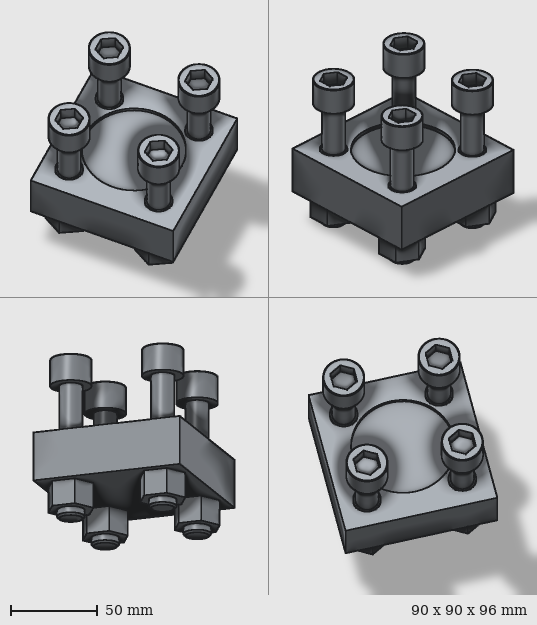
import cadquery as cq
import math

plate_side = 90.0
plate_thickness = 29.0
recess_diameter = 60.0
recess_depth = 2.0

bolt_circle_diameter = 80.0
shank_diameter = 13.5
thread_diameter = 16.0
thread_chamfer = (thread_diameter - shank_diameter) / 2
head_diameter = 24
head_height = 16.0
head_chamfer = 0.5
socket_across_flats = 14.0
socket_depth = 8.0

nut_across_flats = 24
nut_height = 15.0
thread_overhang = 5.0

total_height = 96
nut_bottom = thread_overhang
plate_bottom = nut_bottom + nut_height
plate_top = plate_bottom + plate_thickness
head_bottom = total_height - head_height
socket_bottom = total_height - socket_depth

bolt_offset = bolt_circle_diameter / 2 / math.sqrt(2)
bolt_positions = [
    (x_side * bolt_offset, y_side * bolt_offset)
    for x_side in (-1, 1)
    for y_side in (-1, 1)
]


def cylinder(diameter, bottom, top):
    return cq.Workplane("XY").workplane(offset=bottom).circle(diameter / 2).extrude(top - bottom)


def hexagonal_prism(across_flats, bottom, top):
    """Hexagonal prism with two of its corners on the Y axis."""
    corner_diameter = across_flats / math.cos(math.pi / 6)
    return (
        cq.Workplane("XY", origin=(0, 0, bottom))
        .transformed(rotate=(0, 0, 90))
        .polygon(6, corner_diameter)
        .extrude(top - bottom)
    )


def make_plate():
    plate = (
        cq.Workplane("XY")
        .workplane(offset=plate_bottom)
        .rect(plate_side, plate_side)
        .extrude(plate_thickness)
    )
    recess = cylinder(recess_diameter, plate_top - recess_depth, plate_top)
    bolt_hole = cylinder(thread_diameter, plate_bottom, plate_top)
    plate = plate.cut(recess)
    for x, y in bolt_positions:
        plate = plate.cut(bolt_hole.translate((x, y, 0)))
    return plate


def make_bolt():
    """Socket head bolt: thread chamfered at both ends up to the plate top, reduced shank above it."""
    thread = cylinder(thread_diameter, 0, plate_top).faces("<Z or >Z").chamfer(thread_chamfer)
    shank = cylinder(shank_diameter, plate_top, head_bottom)
    head = cylinder(head_diameter, head_bottom, total_height).faces(">Z").edges().chamfer(head_chamfer)
    socket = hexagonal_prism(socket_across_flats, socket_bottom, total_height)
    return thread.union(shank).union(head).cut(socket)


bolt_with_nut = make_bolt().union(hexagonal_prism(nut_across_flats, nut_bottom, plate_bottom))

result = make_plate()
for x, y in bolt_positions:
    result = result.union(bolt_with_nut.translate((x, y, 0)))